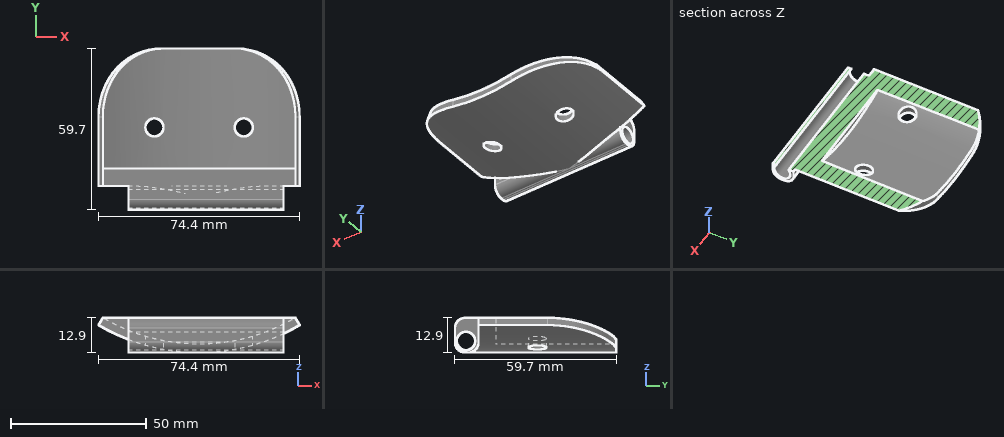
import cadquery as cq
import math

plate_thickness = 3.175
inner_radius = 69.85
outer_radius = inner_radius + plate_thickness
inner_half_width = 35.58
corner_radius = 25.4
plate_front_y = 8.83
plate_back_y = 59.69
axis_z = outer_radius
half_angle = math.asin(inner_half_width / inner_radius)
top_z = axis_z - inner_radius * math.cos(half_angle)

bar_back_y = 15.3

knuckle_left_x = -26.1
knuckle_right_x = 31.2
knuckle_length = knuckle_right_x - knuckle_left_x
knuckle_corner_radius = 3.9
pin_diameter = 6.7
pin_y = 4.13
pin_z = 4.32

screw_diameter = 6.6
screw_half_spacing = 16.5
screw_y = 30.5

corner_steps = 12
trim_margin = 1.0


def trough_point(radius, angle):
    """XZ point on the trough at an angle measured from its lowest line."""
    return (radius * math.sin(angle), axis_z - radius * math.cos(angle))


def extrude_along_y(profile, start_y, end_y):
    """Extrude a closed XZ profile from start_y to end_y."""
    return profile.extrude(start_y - end_y).translate((0, start_y, 0))


def arc_band(start_y, end_y):
    """Stretch of the curved plate with its side faces square to the curve."""
    profile = (
        cq.Workplane("XZ")
        .moveTo(*trough_point(outer_radius, -half_angle))
        .threePointArc(trough_point(outer_radius, 0), trough_point(outer_radius, half_angle))
        .lineTo(*trough_point(inner_radius, half_angle))
        .threePointArc(trough_point(inner_radius, 0), trough_point(inner_radius, -half_angle))
        .close()
    )
    return extrude_along_y(profile, start_y, end_y)


def corner_curve(depth):
    """XY points of the right rear corner, front to back, at a depth below the trough axis.

    The corner is a circular arc on the lower face laid out flat, carried through the
    plate along lines that meet the trough axis, so the rim stays square to the curve.
    """
    center_arc = outer_radius * half_angle - corner_radius
    center_y = plate_back_y - corner_radius
    points = []
    for step in range(corner_steps + 1):
        turn = step / corner_steps * math.pi / 2
        trough_angle = (center_arc + corner_radius * math.cos(turn)) / outer_radius
        points.append((depth * math.tan(trough_angle), center_y + corner_radius * math.sin(turn)))
    return points


def plate_outline(depth):
    """Closed plate outline with rounded rear corners at a depth below the trough axis."""
    right = corner_curve(depth)
    left = [(-x, y) for x, y in reversed(right)]
    side_x = right[0][0]
    forward = (0, 1)
    inward = (-1, 0)
    backward = (0, -1)
    return (
        cq.Workplane("XY", origin=(0, 0, axis_z - depth))
        .moveTo(-side_x, 0)
        .lineTo(side_x, 0)
        .lineTo(*right[0])
        .spline(right[1:], tangents=[forward, inward], includeCurrent=True)
        .lineTo(*left[0])
        .spline(left[1:], tangents=[inward, backward], includeCurrent=True)
        .close()
        .val()
    )


def make_plate():
    """Curved plate trimmed to its rounded outline."""
    trim_body = cq.Solid.makeLoft(
        [
            plate_outline(outer_radius + trim_margin),
            plate_outline(axis_z - top_z - trim_margin),
        ],
        True,
    )
    return arc_band(plate_front_y, plate_back_y).intersect(cq.Workplane(trim_body))


def make_filler_bar():
    """Bar that fills the front of the trough up to its rim."""
    profile = (
        cq.Workplane("XZ")
        .moveTo(*trough_point(inner_radius, -half_angle))
        .threePointArc(trough_point(inner_radius, 0), trough_point(inner_radius, half_angle))
        .close()
    )
    return extrude_along_y(profile, plate_front_y, bar_back_y)


def knuckle_block():
    """Square-edged block that encloses the knuckle."""
    return (
        cq.Workplane("XY")
        .box(knuckle_length, plate_front_y, top_z, centered=False)
        .translate((knuckle_left_x, 0, 0))
    )


def make_knuckle():
    """Knuckle with rounded lower edges and a rounded upper front edge."""
    return knuckle_block().edges("|X").edges("<Y or <Z").fillet(knuckle_corner_radius)


def make_knuckle_web():
    """Plate running on under the knuckle's rounded lower rear edge."""
    web_start_y = plate_front_y - knuckle_corner_radius
    return arc_band(web_start_y, plate_front_y).intersect(knuckle_block())


def make_pin_hole():
    return (
        cq.Workplane("YZ", origin=(knuckle_left_x, 0, 0))
        .center(pin_y, pin_z)
        .circle(pin_diameter / 2)
        .extrude(knuckle_length)
    )


def make_screw_holes():
    return (
        cq.Workplane("XY")
        .pushPoints([(-screw_half_spacing, screw_y), (screw_half_spacing, screw_y)])
        .circle(screw_diameter / 2)
        .extrude(top_z)
    )


body = make_plate().union(make_filler_bar()).union(make_knuckle()).union(make_knuckle_web())
result = body.cut(make_pin_hole()).cut(make_screw_holes())